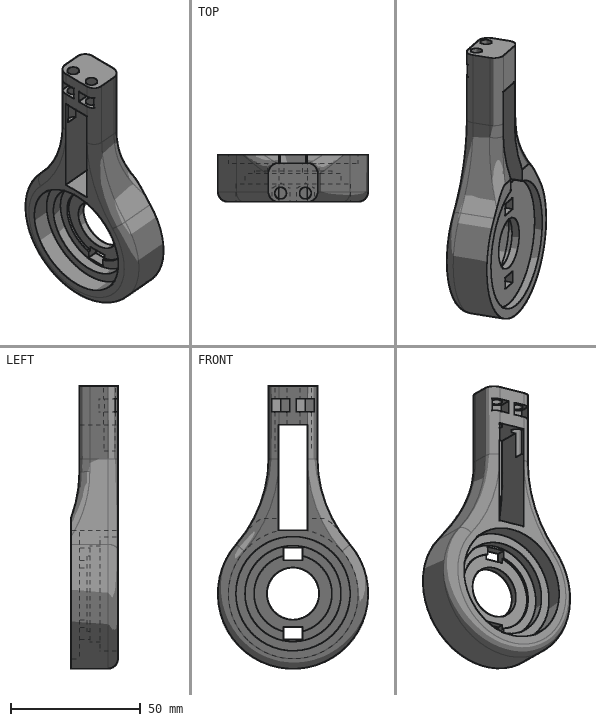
import cadquery as cq
import math

ring_radius = 29.0
ring_depth = 18.2
neck_top = 80.0
neck_width = 19.0
neck_depth = 15.0
edge_fillet = 4.0

side_blend_radius = 50.0
back_blend_radius = 50.0
back_blend_start = 46.7

bore_steps = [(22.0, 7.0), (18.5, 11.0), (15.0, 12.0)]
through_radius = 10.0
back_pocket_radius = ring_radius - edge_fillet

window_width = 7.3
window_height = 4.7
window_offset = 15.25

slot_width = neck_width - 2 * edge_fillet
slot_bottom = 24.5
slot_top = 65.0

screw_spacing = neck_width / 2
screw_diameter = 4.5
screw_inset = 3.4
screw_depth = 25.0
nut_width = 6.9
nut_height = 5.0
nut_bottom = 70.0


def front_plane(y):
    """Sketch plane at depth y with local axes -X and Z; it extrudes towards +Y."""
    return cq.Plane(origin=(0, y, 0), xDir=(-1, 0, 0), normal=(0, 1, 0))


def point_on_arc(center, radius, angle):
    return (center[0] + radius * math.cos(angle), center[1] + radius * math.sin(angle))


def mirrored(point):
    return (-point[0], point[1])


def outline(depth):
    """Ring and neck outline, with side arcs tangent to both, extruded from y = 0."""
    half_width = neck_width / 2
    center_x = half_width + side_blend_radius
    center_z = math.sqrt((ring_radius + side_blend_radius) ** 2 - center_x**2)
    tangent_angle = math.atan2(center_z, center_x)
    neck_base = (half_width, center_z)
    blend_middle = point_on_arc((center_x, center_z), side_blend_radius, math.pi + tangent_angle / 2)
    tangent_point = point_on_arc((0, 0), ring_radius, tangent_angle)
    return (
        cq.Workplane(front_plane(0))
        .moveTo(-half_width, neck_top)
        .lineTo(half_width, neck_top)
        .lineTo(*neck_base)
        .threePointArc(blend_middle, tangent_point)
        .threePointArc((0, -ring_radius), mirrored(tangent_point))
        .threePointArc(mirrored(blend_middle), mirrored(neck_base))
        .close()
        .extrude(depth)
    )


def behind_neck(depth):
    """Solid removed behind the neck; its arc sweeps from the neck back out to y = depth."""
    arc_center = (neck_depth + back_blend_radius, back_blend_start)
    end_angle = math.acos((arc_center[0] - depth) / back_blend_radius)
    arc_end = point_on_arc(arc_center, back_blend_radius, math.pi + end_angle)
    arc_middle = point_on_arc(arc_center, back_blend_radius, math.pi + end_angle / 2)
    return (
        cq.Workplane("YZ")
        .moveTo(neck_depth, neck_top)
        .lineTo(neck_depth, back_blend_start)
        .threePointArc(arc_middle, arc_end)
        .lineTo(depth, neck_top)
        .close()
        .extrude(ring_radius, both=True)
    )


def body():
    """Filleted blank: made too deep so the back fillet runs out through the ring's back face."""
    blank_depth = ring_depth + 2 * edge_fillet
    blank = outline(blank_depth).cut(behind_neck(blank_depth))
    blank = blank.faces("<Y").edges("not >Z").fillet(edge_fillet)

    margin = 1.0
    back_region = cq.selectors.BoxSelector(
        (-ring_radius, neck_depth - margin, 0),
        (ring_radius, blank_depth - margin, neck_top - margin),
    )
    blank = blank.edges(back_region).edges("not |X").fillet(edge_fillet)

    slab = cylinder(ring_radius + neck_top, 0, ring_depth)
    return blank.intersect(slab)


def cylinder(radius, y_start, y_end):
    return cq.Workplane(front_plane(y_start)).circle(radius).extrude(y_end - y_start)


def block(width, z_bottom, z_top):
    """Block centred on x = 0 that passes through the full depth."""
    return cq.Workplane("XY", origin=(0, 0, z_bottom)).box(
        width, ring_depth, z_top - z_bottom, centered=(True, False, False)
    )


def cut_bores(part):
    for radius, depth in bore_steps:
        part = part.cut(cylinder(radius, 0, depth))
    part = part.cut(cylinder(through_radius, 0, ring_depth))
    return part.cut(cylinder(back_pocket_radius, neck_depth, ring_depth))


def cut_windows(part):
    for center in (-window_offset, window_offset):
        half_height = window_height / 2
        part = part.cut(block(window_width, center - half_height, center + half_height))
    return part


def cut_screw(part, x):
    """Screw hole and its nut pocket, which ends in the two rear flats of a hex nut."""
    hole = (
        cq.Workplane("XY", origin=(x, screw_inset, neck_top))
        .circle(screw_diameter / 2)
        .extrude(-screw_depth)
    )
    half_nut = nut_width / 2
    corner_radius = nut_width / math.sqrt(3)
    shoulder = screw_inset + corner_radius / 2
    pocket = (
        cq.Workplane("XY", origin=(x, 0, nut_bottom))
        .moveTo(-half_nut, 0)
        .lineTo(half_nut, 0)
        .lineTo(half_nut, shoulder)
        .lineTo(0, screw_inset + corner_radius)
        .lineTo(-half_nut, shoulder)
        .close()
        .extrude(nut_height)
    )
    return part.cut(hole).cut(pocket)


result = cut_windows(cut_bores(body()))
result = result.cut(block(slot_width, slot_bottom, slot_top))
for screw_x in (-screw_spacing / 2, screw_spacing / 2):
    result = cut_screw(result, screw_x)